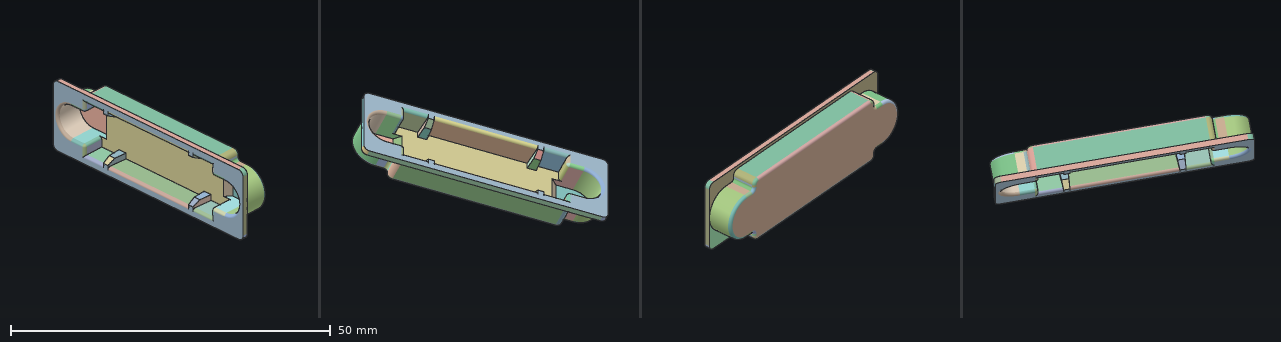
import cadquery as cq
import math

plate_length = 41.2
plate_height = 12.7
plate_thickness = 1.0
plate_corner_radius = 1.0

total_depth = 5.3
wall = 1.0
housing_corner_radius = 1.0
edge_radius = 0.5

pocket_length = 27.5
pocket_height = 9.6
pocket_depth = 3.85
slot_depth = 4.9
slot_radius = 2.95
housing_length = pocket_length + 2 * wall
housing_height = pocket_height + 2 * wall
slot_length = plate_length - 2 * wall

rib_offset = 9.23
rib_front_width = 1.0
rib_side_draft = 4.0
rib_crest = 3.75
rib_front_crest = 4.5
rib_ramp_angle = 27.0


def front_plane(y=0):
    """Workplane parallel to the plate at the given Y; extrusion runs toward +Y."""
    return cq.Workplane(cq.Plane(origin=(0, y, 0), xDir=(-1, 0, 0), normal=(0, 1, 0)))


def box_around(x_reach, y_reach, z_reach, x=0, z=0):
    """Bounds of a box centred on (x, 0, z), as the two corners a BoxSelector takes."""
    return (x - x_reach, -y_reach, z - z_reach), (x + x_reach, y_reach, z + z_reach)


def junction_edges(corner_x, corner_z):
    """Selector for the four Y edges where a slot outline meets a rectangle outline."""
    reach = edge_radius / 2
    corners = [(x, z) for x in (-corner_x, corner_x) for z in (-corner_z, corner_z)]
    boxes = [
        cq.selectors.BoxSelector(*box_around(reach, total_depth, reach, x, z))
        for x, z in corners
    ]
    return boxes[0] + boxes[1] + boxes[2] + boxes[3]


def make_body():
    housing = (
        front_plane().rect(housing_length, housing_height).extrude(total_depth)
        .edges("|Y").fillet(housing_corner_radius)
    )
    boss_radius = slot_radius + wall
    end_bosses = front_plane().slot2D(plate_length, 2 * boss_radius).extrude(total_depth)
    junctions = junction_edges(housing_length / 2, boss_radius)
    housing = housing.union(end_bosses).edges("|Y").edges(junctions).fillet(edge_radius)
    housing = housing.faces(">Y").edges().fillet(edge_radius)

    plate = (
        front_plane().rect(plate_length, plate_height).extrude(plate_thickness)
        .edges("|Y").fillet(plate_corner_radius)
    )
    return plate.union(housing)


def make_opening():
    """Pocket and slot down to the middle floor."""
    pocket = front_plane().rect(pocket_length, pocket_height).extrude(pocket_depth)
    slot = front_plane().slot2D(slot_length, 2 * slot_radius).extrude(pocket_depth)
    return pocket.union(slot)


def make_deep_ends():
    """Slot ends below the middle floor, each entered over a 45 degree ramp."""
    step = slot_depth - pocket_depth
    ends = front_plane(pocket_depth).slot2D(slot_length, 2 * slot_radius).extrude(step)
    foot = pocket_length / 2
    top = foot - step
    middle_floor = (
        cq.Workplane("XY")
        .polyline([(-foot, slot_depth), (foot, slot_depth), (top, pocket_depth), (-top, pocket_depth)])
        .close()
        .extrude(slot_radius, both=True)
    )
    return ends.cut(middle_floor)


def make_rib():
    """Rib on the upper pocket wall, centred on X = 0."""
    root = pocket_height / 2 + edge_radius
    ramp_depth = (rib_front_crest - rib_crest) / math.tan(math.radians(rib_ramp_angle))
    half_front = rib_front_width / 2
    half_back = half_front + pocket_depth * math.tan(math.radians(rib_side_draft))
    side_profile = (
        cq.Workplane("YZ")
        .polyline([
            (0, root),
            (0, rib_front_crest),
            (ramp_depth, rib_crest),
            (pocket_depth, rib_crest),
            (pocket_depth, root),
        ])
        .close()
        .extrude(half_back, both=True)
    )
    drafted_width = (
        cq.Workplane("XY")
        .polyline([
            (-half_front, 0),
            (half_front, 0),
            (half_back, pocket_depth),
            (-half_back, pocket_depth),
        ])
        .close()
        .extrude(root)
    )
    return side_profile.intersect(drafted_width)


result = make_body().cut(make_opening())

rim_edges = cq.selectors.BoxSelector(
    *box_around(slot_length / 2 + edge_radius, edge_radius, housing_height / 2), boundingbox=True
)
result = result.edges(rim_edges + junction_edges(pocket_length / 2, slot_radius)).fillet(edge_radius)

result = result.cut(make_deep_ends())

for rib_x in (-rib_offset, rib_offset):
    upper_rib = make_rib().translate((rib_x, 0, 0))
    result = result.union(upper_rib).union(upper_rib.mirror("XY"))